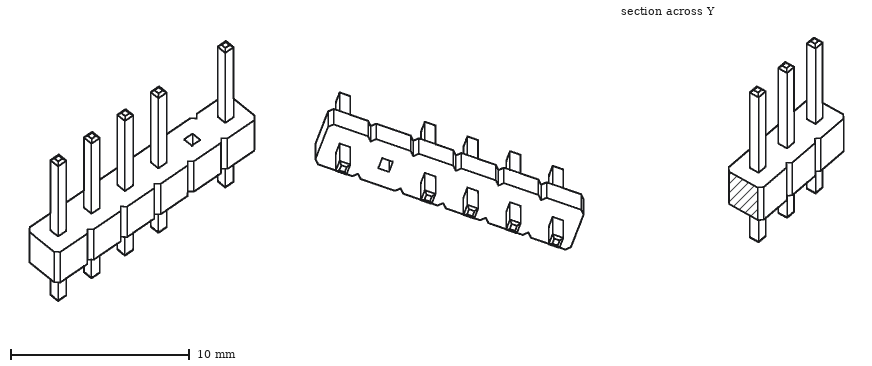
import cadquery as cq

LENGTH = 15.24
POSITIONS = 6
EMPTY_POSITION = 4
PITCH = LENGTH / POSITIONS

BODY_WIDTH = PITCH
BODY_HEIGHT = PITCH
CORNER_CHAMFER = 0.25

PIN_SIDE = 0.64
PIN_LENGTH = 11.54
PIN_TAIL = 3.0
TIP_CHAMFER = PIN_SIDE / 4


def position_y(index):
    """Y of the center of a pin position, with the row centered on the origin."""
    return (index - (POSITIONS - 1) / 2) * PITCH


def make_cell(index):
    """One housing cell; neighboring chamfers form the V notches."""
    return (
        cq.Workplane("XY")
        .center(0, position_y(index))
        .rect(BODY_WIDTH, PITCH)
        .extrude(BODY_HEIGHT)
        .edges("|Z")
        .chamfer(CORNER_CHAMFER)
    )


def make_pin(index):
    """Square pin with chamfered tips at both ends."""
    return (
        cq.Workplane("XY", origin=(0, position_y(index), -PIN_TAIL))
        .rect(PIN_SIDE, PIN_SIDE)
        .extrude(PIN_LENGTH)
        .faces("<Z or >Z")
        .edges()
        .chamfer(TIP_CHAMFER)
    )


result = make_cell(0)
for index in range(1, POSITIONS):
    result = result.union(make_cell(index))

empty_hole = (
    cq.Workplane("XY")
    .center(0, position_y(EMPTY_POSITION))
    .rect(PIN_SIDE, PIN_SIDE)
    .extrude(BODY_HEIGHT)
)
result = result.cut(empty_hole)

for index in range(POSITIONS):
    if index != EMPTY_POSITION:
        result = result.union(make_pin(index))